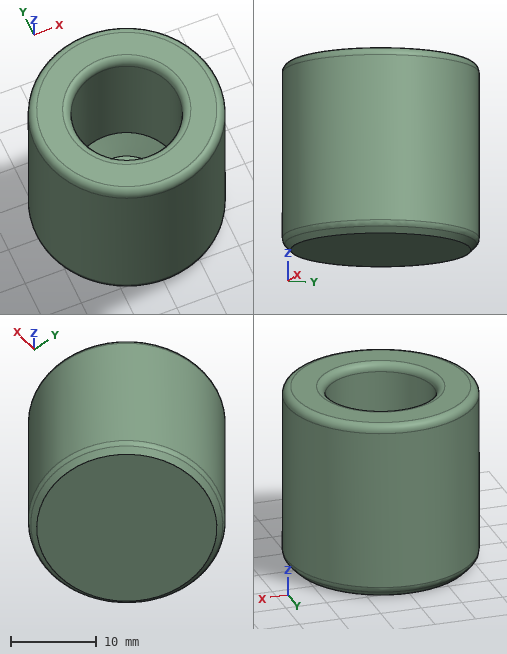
import cadquery as cq

outer_diameter = 23.0
height = 22.0
edge_size = 1.0
bore_diameter = 13.0
floor_diameter = 9.0
floor_thickness = 4.0

bore_radius = bore_diameter / 2
cone_height = (bore_diameter - floor_diameter) / 2


def make_body():
    """Cylinder with a rounded top rim and a softened chamfer at the base."""
    body = cq.Workplane("XY").circle(outer_diameter / 2).extrude(height)
    body = body.faces("<Z").edges().chamfer(edge_size)
    chamfer_top = cq.selectors.NearestToPointSelector((0, 0, edge_size))
    body = body.edges("%CIRCLE").edges(chamfer_top).fillet(edge_size)
    return body.faces(">Z").edges().fillet(edge_size)


def make_bore():
    """Blind bore with a conical bottom, a flat floor and a flared rounded mouth."""
    return (
        cq.Workplane("XZ")
        .moveTo(0, floor_thickness)
        .lineTo(floor_diameter / 2, floor_thickness)
        .lineTo(bore_radius, floor_thickness + cone_height)
        .lineTo(bore_radius, height - edge_size)
        .radiusArc((bore_radius + edge_size, height), edge_size)
        .lineTo(0, height)
        .close()
        .revolve(360, (0, 0, 0), (0, 1, 0))
    )


result = make_body().cut(make_bore())